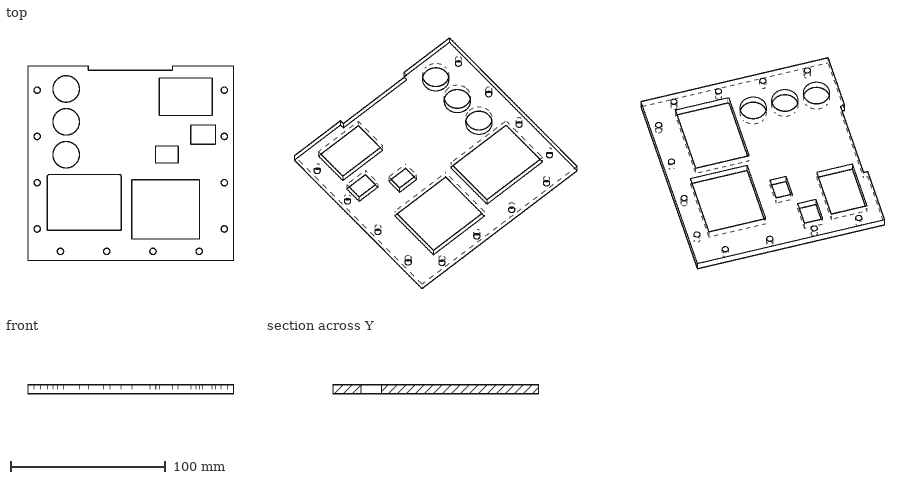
import cadquery as cq

width = 133.0
depth = 126.0
thickness = 6.0

notch_left = 39.1
notch_right = 93.4
notch_depth = 2.8

screw_diameter = 4.0
screw_inset = 6.0
screw_pitch = 29.9
screws_per_row = 4
side_row_start = 20.5
front_row_start = 21.0

round_diameter = 17.0
round_x = 24.7
round_pitch = 21.3
round_start_y = 68.5
round_count = 3

corner_radius = 0.9


def box_between(left, right, front, rear):
    """Block through the full thickness, given by its four sides."""
    block = cq.Workplane("XY").box(right - left, rear - front, thickness, centered=False)
    return block.translate((left, front, 0))


def cylinders(points, diameter):
    """Through-hole cutters at the given centres."""
    return cq.Workplane("XY").pushPoints(points).circle(diameter / 2).extrude(thickness)


plate = box_between(0, width, 0, depth)
plate = plate.cut(box_between(notch_left, notch_right, depth - notch_depth, depth))

screw_points = []
for i in range(screws_per_row):
    side_y = side_row_start + i * screw_pitch
    screw_points.append((screw_inset, side_y))
    screw_points.append((width - screw_inset, side_y))
    screw_points.append((front_row_start + i * screw_pitch, screw_inset))
plate = plate.cut(cylinders(screw_points, screw_diameter))

round_points = [(round_x, round_start_y + i * round_pitch) for i in range(round_count)]
plate = plate.cut(cylinders(round_points, round_diameter))

rear_window = box_between(left=85.0, right=119.2, front=94.0, rear=118.0)
right_window = box_between(left=105.3, right=121.3, front=75.4, rear=87.6)
front_right_window = box_between(left=67.3, right=110.9, front=14.1, rear=52.3)
front_left_window = box_between(left=12.6, right=60.2, front=19.7, rear=55.6)
front_left_window = front_left_window.edges("|Z and >Y").fillet(corner_radius)
inner_window = box_between(left=82.6, right=97.1, front=63.3, rear=74.1)

for window in (rear_window, right_window, front_right_window, front_left_window, inner_window):
    plate = plate.cut(window)

result = plate